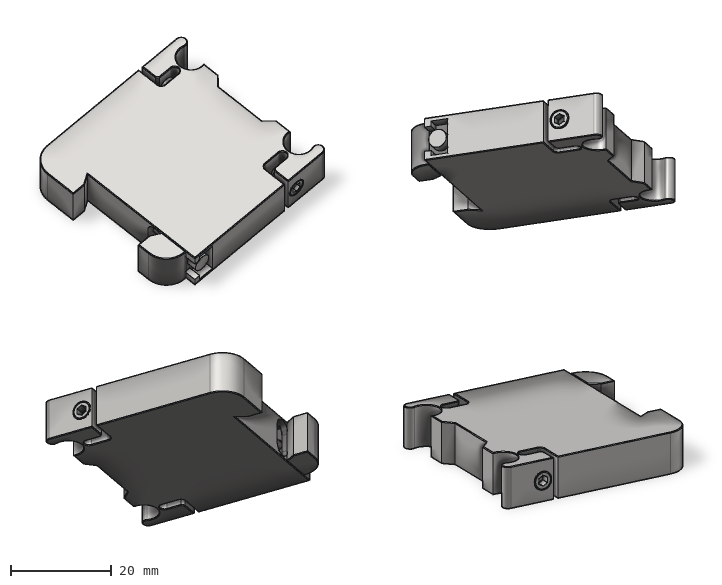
import cadquery as cq
import math


plate_width = 40.5
thickness = 9.0
middle_z = thickness / 2
side_x = plate_width / 2
edge_chamfer = 0.17

ear_top_y = 37.63
ear_tip_radius = 1.25
notch_radius = 3.0
notch_drop = 2.6
tip_x = -side_x + ear_tip_radius
tip_y = ear_top_y - ear_tip_radius
notch_y = ear_top_y - notch_drop
tip_to_notch = ear_tip_radius + notch_radius
tip_angle = math.asin((notch_y - tip_y) / tip_to_notch)
notch_x = tip_x + tip_to_notch * math.cos(tip_angle)

shoulder_y = 35.65
recess_drop = 2.0
recess_half_width = 6.05

slot_width = 2.0
slot_top_drop = 6.3
slot_fillet = 1.0
kerf_width = 1.0
kerf_top_y = 26.55
ear_corner_chamfer = 0.55

set_screw_diameter = 3.95
set_screw_length = 6.05
set_screw_y = 28.95
set_screw_tip_length = 1.05
set_screw_end_chamfer = 0.25
socket_flats = 2.0
socket_depth = 2.0
drill_point_angle = math.radians(120)

grip_height = 5.47
grip_lip = 3.2
grip_corner_radius = 5.0
grip_slope = math.radians(30)
hook_lip_x = -8.15
jaw_lip_x = 9.83
jaw_outer_x = 17.8
undercut_run = (grip_height - grip_lip) * math.tan(grip_slope)

clamp_axis_y = 2.6
shaft_diameter = 2.2
head_diameter = 3.8
head_length = 2.2
head_recess = 0.5
head_start_x = side_x - head_recess - head_length
pocket_width = 4.22
pocket_height = 8.0
pocket_depth = 5.0
pocket_x = 9.35
channel_height = 7.33
channel_mouth_height = 5.17
channel_lip = 1.4
channel_depth = pocket_depth
thread_engagement = 4.0
shaft_end_x = pocket_x - pocket_width / 2 - thread_engagement
tab_start_x = 11.6
neck_start_x = 12.5
tab_hole_diameter = 2.5


def point_on_arc(center_x, center_y, radius, angle):
    return center_x + radius * math.cos(angle), center_y + radius * math.sin(angle)


def x_cylinder(diameter, start_x, end_x, y):
    """Cylinder along X at mid thickness."""
    return (
        cq.Workplane("YZ", origin=(start_x, y, middle_z))
        .circle(diameter / 2)
        .extrude(end_x - start_x)
    )


def mirrored(shape):
    return shape.mirror("YZ")


def chamfer_rims(solid):
    return solid.faces("<Z or >Z").edges().chamfer(edge_chamfer)


def half_plate():
    """Left half of the plate, with its ear, notch and half of the back recess."""
    tip_end = point_on_arc(tip_x, tip_y, ear_tip_radius, tip_angle)
    tip_middle = point_on_arc(tip_x, tip_y, ear_tip_radius, (math.pi + tip_angle) / 2)
    notch_bottom = (notch_x, notch_y - notch_radius)
    notch_half_chord = math.sqrt(notch_radius**2 - (shoulder_y - notch_y) ** 2)
    recess_y = shoulder_y - recess_drop
    return (
        cq.Workplane("XY")
        .moveTo(0, 0)
        .lineTo(-side_x, 0)
        .lineTo(-side_x, tip_y)
        .threePointArc(tip_middle, tip_end)
        .threePointArc(notch_bottom, (notch_x + notch_half_chord, shoulder_y))
        .lineTo(-recess_half_width - recess_drop, shoulder_y)
        .lineTo(-recess_half_width, recess_y)
        .lineTo(0, recess_y)
        .close()
        .extrude(thickness)
    )


def ear_slot():
    """Slot beside the left ear, with the kerf that opens it to the side."""
    left_x = notch_x - slot_width / 2
    right_x = notch_x + slot_width / 2
    slot_top_y = ear_top_y - slot_top_drop
    round_y = slot_top_y - slot_width / 2
    kerf_bottom_y = kerf_top_y - kerf_width
    fillet_middle = point_on_arc(
        right_x - slot_fillet, kerf_bottom_y + slot_fillet, slot_fillet, -math.pi / 4
    )
    return (
        cq.Workplane("XY")
        .moveTo(-side_x, kerf_bottom_y)
        .lineTo(right_x - slot_fillet, kerf_bottom_y)
        .threePointArc(fillet_middle, (right_x, kerf_bottom_y + slot_fillet))
        .lineTo(right_x, round_y)
        .threePointArc((notch_x, slot_top_y), (left_x, round_y))
        .lineTo(left_x, kerf_top_y + ear_corner_chamfer)
        .lineTo(left_x - ear_corner_chamfer, kerf_top_y)
        .lineTo(-side_x, kerf_top_y)
        .close()
        .extrude(thickness)
    )


def grip(lip_x, outer_x):
    """Hook shape under the seat face: undercut at lip_x, rounded corner at outer_x."""
    outward = math.copysign(1, outer_x - lip_x)
    center_x = outer_x - outward * grip_corner_radius
    center_y = -grip_height + grip_corner_radius
    diagonal = grip_corner_radius * math.sqrt(0.5)
    return (
        cq.Workplane("XY")
        .moveTo(lip_x + outward * undercut_run, 0)
        .lineTo(lip_x, grip_lip - grip_height)
        .lineTo(lip_x, -grip_height)
        .lineTo(center_x, -grip_height)
        .threePointArc((center_x + outward * diagonal, center_y - diagonal), (outer_x, center_y))
        .lineTo(outer_x, 0)
        .close()
        .extrude(thickness)
    )


def clamp_pocket():
    """Upright pocket with round ends, sunk into the seat face."""
    return (
        cq.Workplane("XZ", origin=(pocket_x, 0, middle_z))
        .slot2D(pocket_height, pocket_width, 90)
        .extrude(-pocket_depth)
    )


def z_centered_block(start_x, end_x, start_y, end_y, height):
    return (
        cq.Workplane("XY", origin=(start_x, start_y, middle_z))
        .box(end_x - start_x, end_y - start_y, height, centered=(False, False, True))
    )


def t_bar(wide_start_x, neck_x, end_x):
    """Bar of T section: a neck at the seat face and a wide part behind the channel lip."""
    wide_part = z_centered_block(wide_start_x, end_x, channel_lip, channel_depth, channel_height)
    neck = z_centered_block(neck_x, end_x, 0, channel_lip, channel_mouth_height)
    return wide_part.union(neck)


def make_body():
    half = half_plate().cut(ear_slot())
    body = half.union(mirrored(half)).union(grip(hook_lip_x, -side_x)).clean()
    body = chamfer_rims(body)
    screw_hole = x_cylinder(set_screw_diameter, -side_x, notch_x, set_screw_y)
    body = body.cut(screw_hole).cut(mirrored(screw_hole))
    body = body.cut(clamp_pocket()).cut(t_bar(pocket_x, neck_start_x, side_x))
    return body.cut(x_cylinder(shaft_diameter, shaft_end_x, pocket_x, clamp_axis_y))


def make_jaw():
    jaw = chamfer_rims(grip(jaw_lip_x, jaw_outer_x))
    jaw = jaw.union(t_bar(tab_start_x, neck_start_x, head_start_x))
    return jaw.cut(x_cylinder(tab_hole_diameter, tab_start_x, head_start_x, clamp_axis_y))


def make_clamp_screw():
    shaft = x_cylinder(shaft_diameter, shaft_end_x, head_start_x, clamp_axis_y)
    head = x_cylinder(head_diameter, head_start_x, head_start_x + head_length, clamp_axis_y)
    return shaft.union(head)


def make_set_screw():
    """Left set screw: cone tip toward the slot, hexagon socket at the outer end."""
    screw = x_cylinder(set_screw_diameter, -side_x, -side_x + set_screw_length, set_screw_y)
    screw = screw.faces(">X").chamfer(set_screw_tip_length)
    screw = screw.faces("<X").chamfer(set_screw_end_chamfer)
    socket_radius = socket_flats / 2 / math.cos(math.pi / 6)
    socket = (
        cq.Workplane("YZ", origin=(-side_x, set_screw_y, middle_z))
        .transformed(rotate=(0, 0, 90))
        .polygon(6, 2 * socket_radius)
        .extrude(socket_depth)
    )
    drill_point_length = socket_radius / math.tan(drill_point_angle / 2)
    drill_point = cq.Solid.makeCone(
        socket_radius,
        0,
        drill_point_length,
        cq.Vector(-side_x + socket_depth, set_screw_y, middle_z),
        cq.Vector(1, 0, 0),
    )
    return screw.cut(socket).cut(cq.Workplane(drill_point))


body = make_body()
jaw = make_jaw()
clamp_screw = make_clamp_screw()
left_set_screw = make_set_screw()
set_screws = [left_set_screw, mirrored(left_set_screw)]

result = cq.Compound.makeCompound(
    [body.val(), jaw.val(), clamp_screw.val(), *[screw.val() for screw in set_screws]]
)